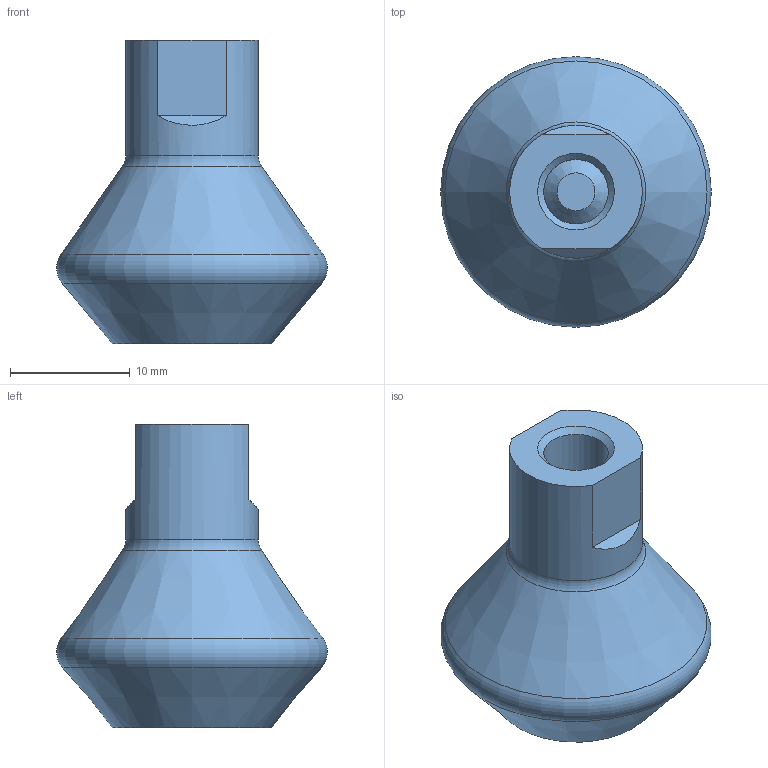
import cadquery as cq
import math

height = 25.4
rim_radius = 11.315
base_radius = 6.65

rim_round = 2.0
rim_level = 6.36
upper_cone_angle = 35.0

shank_radius = 11.1 / 2
neck_fillet = 1.6
flat_spacing = 9.525
flat_length = 6.33

bore_radius = 5.41 / 2
bore_chamfer = 0.5
bore_depth = 12.7
core_top_radius = 3.175 / 2
core_height = bore_radius - core_top_radius


def rim_point(center_r, angle):
    """Profile point on the rim arc at an angle above horizontal."""
    return (center_r + rim_round * math.cos(angle), rim_level + rim_round * math.sin(angle))


def make_body():
    """Revolve the outer profile: lower cone, rounded rim, upper cone, neck fillet and shank."""
    center_r = rim_radius - rim_round
    slope = math.radians(upper_cone_angle)

    base_direction = math.atan2(-rim_level, base_radius - center_r)
    base_distance = math.hypot(base_radius - center_r, rim_level)
    lower_angle = base_direction + math.acos(rim_round / base_distance)

    rim_bottom = rim_point(center_r, lower_angle)
    rim_middle = (rim_radius, rim_level)
    rim_top = rim_point(center_r, slope)

    neck_center_r = shank_radius + neck_fillet
    neck_r = neck_center_r - neck_fillet * math.cos(slope)
    neck_z = rim_top[1] + (rim_top[0] - neck_r) / math.tan(slope)
    neck_center_z = neck_z + neck_fillet * math.sin(slope)
    neck_middle = (
        neck_center_r - neck_fillet * math.cos(slope / 2),
        neck_center_z - neck_fillet * math.sin(slope / 2),
    )

    profile = (
        cq.Workplane("XZ")
        .lineTo(base_radius, 0)
        .lineTo(*rim_bottom)
        .threePointArc(rim_middle, rim_top)
        .lineTo(neck_r, neck_z)
        .threePointArc(neck_middle, (shank_radius, neck_center_z))
        .lineTo(shank_radius, height)
        .lineTo(0, height)
        .close()
    )
    return profile.revolve(360, (0, 0, 0), (0, 1, 0))


def make_flat_cutter(side):
    """Cutter for one wrench flat with a 45 degree runout; side is +1 or -1 along Y."""
    flat_y = flat_spacing / 2
    runout = shank_radius - flat_y
    flat_bottom = height - flat_length
    return (
        cq.Workplane("YZ")
        .moveTo(side * flat_y, height)
        .lineTo(side * flat_y, flat_bottom)
        .lineTo(side * shank_radius, flat_bottom - runout)
        .lineTo(side * shank_radius, height)
        .close()
        .extrude(shank_radius, both=True)
    )


def make_bore():
    """Chamfered blind bore whose floor rises to a truncated cone."""
    floor = height - bore_depth
    return (
        cq.Workplane("XZ")
        .moveTo(0, floor + core_height)
        .lineTo(core_top_radius, floor + core_height)
        .lineTo(bore_radius, floor)
        .lineTo(bore_radius, height - bore_chamfer)
        .lineTo(bore_radius + bore_chamfer, height)
        .lineTo(0, height)
        .close()
        .revolve(360, (0, 0, 0), (0, 1, 0))
    )


result = make_body()
for side in (1, -1):
    result = result.cut(make_flat_cutter(side))
result = result.cut(make_bore())